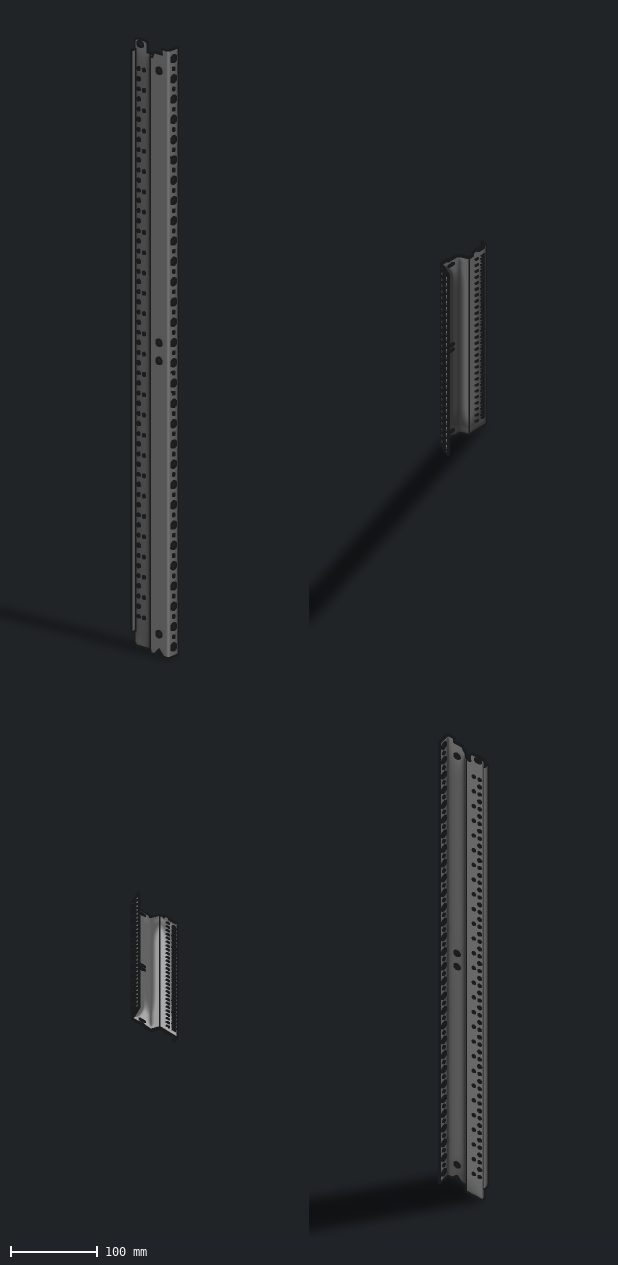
import cadquery as cq

length = 748.5
width = 59.0
depth = 17.0
sheet = 2.0
front_y = -depth / 2
back_y = depth / 2

plate_back_y = 1.5
plate_front_y = plate_back_y - sheet
web_back_y = front_y + sheet
lip_end_y = -7.5
step_start_x = 24.0
step_end_x = 31.5
step_shift_x = 1.1
step_bend_radius = 4.0
lip_bend_radius = 2.0
flange_bend_radius = 3.0

lip_bottom_z = 18.0
lip_top_z = 735.0

tab_right_x = 19.5
notch_floor_z = 735.0
shoulder_z = 742.0
shoulder_foot_x = 34.0
shoulder_start_x = 37.0
shoulder_end_x = 49.0
plate_corner_radius = 4.0
tab_hole_x = 8.0
tab_hole_z = 742.5
tab_hole_width = 9.0
tab_hole_height = 7.0

web_hole_x = 44.0
web_hole_diameter = 8.0
top_hole_inset = 28.0
bottom_hole_inset = 26.0
middle_hole_spacing = 22.5
bottom_notch_half_width = 7.0
bottom_notch_height = 7.5

flange_row_length = 725.0
flange_hole_count = 30
pitch = flange_row_length / (flange_hole_count - 1)
row_pair_count = flange_hole_count - 2
outer_row_x = 6.0
inner_row_x = 14.0
pair_hole_diameter = 4.0
single_hole_diameter = 4.5
flange_hole_y = 1.0
flange_hole_diameter = 9.0
flange_small_diameter = 4.0


def centred_rows(count):
    """Heights of evenly pitched holes centred on the rail length."""
    return [length / 2 + (i - (count - 1) / 2) * pitch for i in range(count)]


def front_sketch():
    """XZ workplane at the back face; extrusions run toward -Y to the front."""
    return cq.Workplane("XZ", origin=(0, back_y, 0))


def cut_front_holes(body, points, diameter):
    holes = front_sketch().pushPoints(points).circle(diameter / 2).extrude(depth)
    return body.cut(holes)


def cut_flange_holes(body, heights, diameter):
    points = [(flange_hole_y, z) for z in heights]
    plane = cq.Workplane("YZ", origin=(width - sheet, 0, 0))
    return body.cut(plane.pushPoints(points).circle(diameter / 2).extrude(sheet))


def bend(body, x, y, radius):
    """Round the lengthwise edge that passes through (x, y)."""
    edge = cq.selectors.NearestToPointSelector((x, y, length / 2))
    return body.edges("|Z").edges(edge).fillet(radius)


def bent_sheet():
    """Folded cross-section extruded over the full length."""
    body = (
        cq.Workplane("XY")
        .moveTo(0, lip_end_y)
        .lineTo(0, plate_back_y)
        .lineTo(step_start_x + step_shift_x, plate_back_y)
        .lineTo(step_end_x + step_shift_x, web_back_y)
        .lineTo(width - sheet, web_back_y)
        .lineTo(width - sheet, back_y)
        .lineTo(width, back_y)
        .lineTo(width, front_y)
        .lineTo(step_end_x, front_y)
        .lineTo(step_start_x, plate_front_y)
        .lineTo(sheet, plate_front_y)
        .lineTo(sheet, lip_end_y)
        .close()
        .extrude(length)
    )
    body = bend(body, 0, plate_back_y, lip_bend_radius)
    body = bend(body, step_end_x, front_y, step_bend_radius)
    body = bend(body, step_end_x + step_shift_x, web_back_y, step_bend_radius - sheet)
    body = bend(body, width, front_y, flange_bend_radius)
    return bend(body, width - sheet, web_back_y, flange_bend_radius - sheet)


def trim_lip(body):
    """Stop the lip short of both ends, leaving the plate full length."""
    lip_depth = plate_front_y - lip_end_y
    for z, height in ((0, lip_bottom_z), (lip_top_z, length - lip_top_z)):
        block = cq.Workplane("XY").box(sheet, lip_depth, height, centered=False)
        body = body.cut(block.translate((0, lip_end_y, z)))
    return body


def trim_ends(body):
    """Keep only the part inside the end outline of the rail."""
    outline = (
        front_sketch()
        .moveTo(plate_corner_radius, 0)
        .lineTo(web_hole_x - bottom_notch_half_width, 0)
        .lineTo(web_hole_x, bottom_notch_height)
        .lineTo(web_hole_x + bottom_notch_half_width, 0)
        .lineTo(width, 0)
        .lineTo(width, length)
        .lineTo(shoulder_end_x, length)
        .lineTo(shoulder_end_x, shoulder_z)
        .lineTo(shoulder_start_x, shoulder_z)
        .lineTo(shoulder_foot_x, notch_floor_z)
        .lineTo(tab_right_x, notch_floor_z)
        .lineTo(tab_right_x, length - plate_corner_radius)
        .radiusArc((tab_right_x - plate_corner_radius, length), -plate_corner_radius)
        .lineTo(plate_corner_radius, length)
        .radiusArc((0, length - plate_corner_radius), -plate_corner_radius)
        .lineTo(0, plate_corner_radius)
        .radiusArc((plate_corner_radius, 0), -plate_corner_radius)
        .close()
        .extrude(depth)
    )
    return body.intersect(outline)


result = trim_ends(trim_lip(bent_sheet()))

tab_slot = (
    front_sketch()
    .center(tab_hole_x, tab_hole_z)
    .slot2D(tab_hole_width, tab_hole_height)
    .extrude(depth)
)
result = result.cut(tab_slot)

web_heights = [
    bottom_hole_inset,
    (length - middle_hole_spacing) / 2,
    (length + middle_hole_spacing) / 2,
    length - top_hole_inset,
]
result = cut_front_holes(result, [(web_hole_x, z) for z in web_heights], web_hole_diameter)

pairs = [(x, z) for z in centred_rows(row_pair_count) for x in (outer_row_x, inner_row_x)]
singles = [(outer_row_x, z) for z in centred_rows(row_pair_count - 1)]
result = cut_front_holes(result, pairs, pair_hole_diameter)
result = cut_front_holes(result, singles, single_hole_diameter)

result = cut_flange_holes(result, centred_rows(flange_hole_count), flange_hole_diameter)
result = cut_flange_holes(result, centred_rows(flange_hole_count - 1), flange_small_diameter)